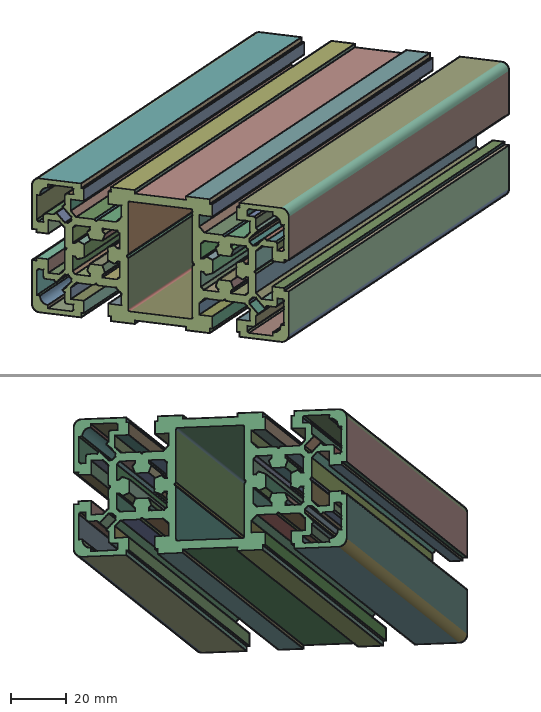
import cadquery as cq
import math


MODULE = 50.0
WIDTH = 2 * MODULE
LENGTH = 200.0
HALF_MODULE = MODULE / 2
CORNER_RADIUS = 3.0

THROAT_HALF = 4.75
STEP_HALF = 5.8
STEP_DEPTH = 1.75
LIP_DEPTH = 6.4
SLOT_HALF = 9.85
SLOT_DEPTH = 12.75
SLOT_CHAMFER = 2.1

GROOVE_HALF = 0.7
GROOVE_DEPTH = 0.6

CORE_HALF = 9.15
CORE_CHAMFER = 1.1
RIB_NECK_HALF = 2.45
RIB_WIDE_HALF = 3.5
RIB_WIDE_LEVEL = 7.2
RIB_NECK_LEVEL = 8.3
RIB_TIP_LEVEL = 4.6

OUTER_WALL = 1.9
LIP_WALL = 4.45
GUSSET_OFFSET = 3.15
GUSSET_END = 6.3

CAVITY_END = 8.9
CAVITY_INNER = 12.2
CAVITY_CHAMFER = 0.6
HOOK_RISE = 0.9
CHANNEL_HALF = 1.75
CHANNEL_END_DISTANCE = 14.6
CHANNEL_END_CHAMFER = 0.8

BOX_WIDTH = 25.0
BOX_WALL = 4.5
BOX_RADIUS = 0.7
RECESS_WIDTH = 20.0
RECESS_DEPTH = 1.3


def prism(points):
    """Closed XZ outline extruded over the full length, centred on Y."""
    return cq.Workplane("XZ").polyline(points).close().extrude(LENGTH / 2, both=True)


def block(width, height):
    """Centred full-length block."""
    return cq.Workplane("XY").box(width, LENGTH, height)


def reflected(points):
    """Open half outline reflected in the Z axis, in reverse order."""
    return [(-x, z) for x, z in reversed(points)]


def turned(shape, angle):
    """Shape turned about the profile axis."""
    return shape.rotate((0, 0, 0), (0, 1, 0), angle)


def slot_cutter():
    """T-slot open at the top of a module, with stepped lips and a grooved floor."""
    floor = HALF_MODULE - SLOT_DEPTH
    step = HALF_MODULE - STEP_DEPTH
    lip = HALF_MODULE - LIP_DEPTH
    half = [
        (STEP_HALF, HALF_MODULE),
        (STEP_HALF, step),
        (THROAT_HALF, step),
        (THROAT_HALF, lip),
        (SLOT_HALF, lip),
        (SLOT_HALF, floor + SLOT_CHAMFER),
        (SLOT_HALF - SLOT_CHAMFER, floor),
        (GROOVE_HALF, floor),
    ]
    groove_bottom = (0, floor - GROOVE_DEPTH)
    return prism(half + [groove_bottom] + reflected(half))


def core_cutter():
    """Chamfered square core cavity, leaving one flared rib standing on each wall."""
    core = block(2 * CORE_HALF, 2 * CORE_HALF).edges("|Y").chamfer(CORE_CHAMFER)
    half_rib = [
        (RIB_NECK_HALF, CORE_HALF),
        (RIB_NECK_HALF, RIB_NECK_LEVEL),
        (RIB_WIDE_HALF, RIB_WIDE_LEVEL),
        (RIB_NECK_HALF, RIB_TIP_LEVEL),
    ]
    rib = prism(half_rib + reflected(half_rib))
    for quarter in range(4):
        core = core.cut(turned(rib, 90 * quarter))
    return core


def diagonal_point(distance, offset):
    """Point at a distance along the module diagonal and an offset to its upper left."""
    return ((distance - offset) * math.sqrt(0.5), (distance + offset) * math.sqrt(0.5))


def corner_cutter():
    """Cavity in the +X +Z corner, symmetric about the diagonal of the module."""
    outer = HALF_MODULE - OUTER_WALL
    lip = HALF_MODULE - LIP_WALL
    gusset = HALF_MODULE - GUSSET_OFFSET
    gusset_end = HALF_MODULE - GUSSET_END
    hook = CAVITY_INNER + HOOK_RISE
    channel_rise = CHANNEL_HALF * math.sqrt(2)
    half = [
        (gusset_end, gusset),
        (gusset_end, outer),
        (CAVITY_END + CAVITY_CHAMFER, outer),
        (CAVITY_END, outer - CAVITY_CHAMFER),
        (CAVITY_END, lip),
        (CAVITY_INNER - CAVITY_CHAMFER, lip),
        (CAVITY_INNER, lip - CAVITY_CHAMFER),
        (CAVITY_INNER, hook + channel_rise + HOOK_RISE),
        (hook, hook + channel_rise),
        diagonal_point(CHANNEL_END_DISTANCE + CHANNEL_END_CHAMFER, CHANNEL_HALF),
        diagonal_point(CHANNEL_END_DISTANCE, CHANNEL_HALF - CHANNEL_END_CHAMFER),
    ]
    outline = half + [(z, x) for x, z in reversed(half)]
    gusset_middle = gusset_end + (gusset - gusset_end) * math.sqrt(0.5)
    profile = cq.Workplane("XZ").polyline(outline)
    profile = profile.threePointArc((gusset_middle, gusset_middle), outline[0])
    return profile.close().extrude(LENGTH / 2, both=True)


def box_cutter():
    """Rounded rectangular central passage with a groove half way up each side wall."""
    half_width = BOX_WIDTH / 2
    passage = block(BOX_WIDTH, MODULE - 2 * BOX_WALL).edges("|Y").fillet(BOX_RADIUS)
    groove = prism([
        (0, GROOVE_HALF),
        (half_width, GROOVE_HALF),
        (half_width + GROOVE_DEPTH, 0),
        (half_width, -GROOVE_HALF),
        (0, -GROOVE_HALF),
    ])
    return passage.union(groove).union(groove.mirror("YZ"))


def left_module_cutter():
    """Everything removed from the module on the -X side, about its own centre."""
    slot = slot_cutter()
    cutter = core_cutter()
    for angle in (0, 180, -90):
        cutter = cutter.union(turned(slot, angle))
    upper_corner = corner_cutter().mirror("YZ")
    return cutter.union(upper_corner).union(upper_corner.mirror("XY"))


body = block(WIDTH, MODULE).edges("|Y").fillet(CORNER_RADIUS)
left_cutter = left_module_cutter().translate((-HALF_MODULE, 0, 0))
body = body.cut(left_cutter).cut(left_cutter.mirror("YZ"))
body = body.cut(box_cutter())
recess = block(RECESS_WIDTH, 2 * RECESS_DEPTH)
for face_level in (HALF_MODULE, -HALF_MODULE):
    body = body.cut(recess.translate((0, 0, face_level)))

result = body